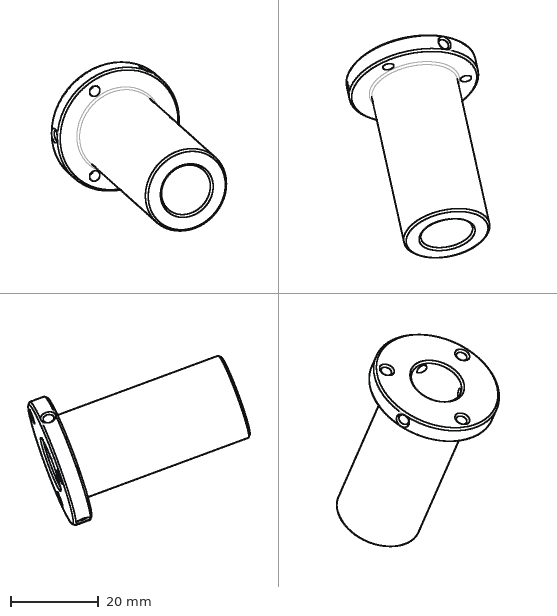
import cadquery as cq

length = 45.0
flange_diameter = 30.0
flange_thickness = 4.5
body_diameter = 20.0
bore_diameter = 12.0
edge_chamfer = 0.5
neck_fillet = 0.5

hole_diameter = 2.5
hole_chamfer = 0.5
bolt_circle_diameter = 24.0
hole_count = 3
hole_spacing = 360.0 / hole_count
radial_hole_x = flange_thickness / 2

axis_start = cq.Vector(0, 0, 0)
axis_direction = cq.Vector(1, 0, 0)


def cylinder(diameter, height):
    return cq.Workplane("YZ").circle(diameter / 2).extrude(height)


def chamfered_hole(depth, start, direction):
    """Cutting tool for a round hole with a 45 degree chamfer at its mouth."""
    radius = hole_diameter / 2
    drill = cq.Solid.makeCylinder(radius, depth, start, direction)
    mouth = cq.Solid.makeCone(radius + hole_chamfer, radius, hole_chamfer, start, direction)
    return drill.fuse(mouth)


def rotated_copies(tool):
    """Copies of a cutting tool spaced evenly around the part axis."""
    return [tool.rotate(axis_start, axis_direction, i * hole_spacing) for i in range(hole_count)]


flange = cylinder(flange_diameter, flange_thickness).edges().chamfer(edge_chamfer)
body = cylinder(body_diameter, length).faces(">X").edges().chamfer(edge_chamfer)
result = flange.union(body)
neck_edge = cq.selectors.RadiusNthSelector(0)
result = result.faces(cq.selectors.NearestToPointSelector(
    (flange_thickness, 0, (flange_diameter + body_diameter) / 4)
)).edges(neck_edge).fillet(neck_fillet)

bore = cylinder(bore_diameter, length)
result = result.cut(bore)
result = result.faces("<X or >X").edges(cq.selectors.RadiusNthSelector(0)).chamfer(edge_chamfer)

axial_hole = chamfered_hole(
    flange_thickness, cq.Vector(0, bolt_circle_diameter / 2, 0), axis_direction
)
for tool in rotated_copies(axial_hole):
    result = result.cut(cq.Workplane(tool))

radial_hole = chamfered_hole(
    flange_diameter / 2, cq.Vector(radial_hole_x, -flange_diameter / 2, 0), cq.Vector(0, 1, 0)
)
for tool in rotated_copies(radial_hole):
    result = result.cut(cq.Workplane(tool))